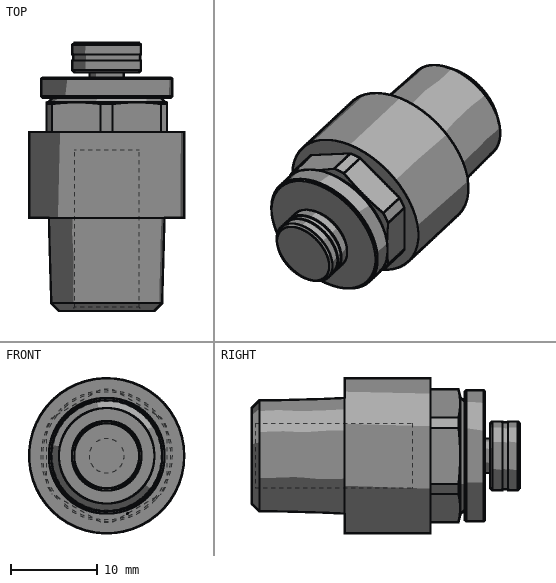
import cadquery as cq

total_length = 31.1

spigot_length = 10.8
spigot_base_radius = 6.72
spigot_tip_radius = 6.45
spigot_end_face_radius = 5.55
spigot_chamfer_length = 0.9
bore_radius = 3.75
bore_depth = 18.65
bore_chamfer_width = 0.28
bore_chamfer_length = 0.47

body_radius = 18.0 / 2
body_length = 9.95

hex_across_flats = 14.0
hex_corner_radius = 7.7
hex_length = 3.48
hex_chamfer_length = 0.25
hex_end_radius = 6.72

neck_length = 0.47
neck_small_radius = 6.3

flange_radius = 15.2 / 2
flange_length = 2.35
flange_chamfer = 0.2

stem_radius = 4.0 / 2
cap_radius = 8.0 / 2
cap_length = 3.48
cap_chamfer = 0.28
groove_radius = 7.8 / 2
groove_width = 0.68
groove_from_cap_end = 1.37

body_start = spigot_length
hex_start = body_start + body_length
hex_end = hex_start + hex_length
flange_start = hex_end + neck_length
flange_end = flange_start + flange_length
cap_start = total_length - cap_length
groove_end = total_length - groove_from_cap_end


def revolve_profile(points):
    """Revolve (radius, y) points, closed along the axis, around Y."""
    axis_start = (0, points[0][1])
    axis_end = (0, points[-1][1])
    outline = cq.Workplane("XY").polyline([axis_start, *points, axis_end]).close()
    return outline.revolve(360, (0, 0, 0), (0, 1, 0))


def cylinder(radius, start, end):
    return revolve_profile([(radius, start), (radius, end)])


def chamfered_disc(radius, start, end, chamfer):
    return cylinder(radius, start, end).faces("<Y or >Y").chamfer(chamfer)


def make_spigot():
    return revolve_profile([
        (spigot_end_face_radius, 0),
        (spigot_tip_radius, spigot_chamfer_length),
        (spigot_base_radius, spigot_length),
    ])


def make_hexagon():
    """Hexagon with flats facing +X and -X, trimmed by a chamfered cylinder."""
    prism = (
        cq.Workplane("XZ", origin=(0, hex_start, 0))
        .polygon(6, hex_across_flats, circumscribed=True)
        .extrude(-hex_length)
    )
    envelope = revolve_profile([
        (hex_corner_radius, hex_start),
        (hex_corner_radius, hex_end - hex_chamfer_length),
        (hex_end_radius, hex_end),
    ])
    return prism.intersect(envelope)


def make_neck():
    return revolve_profile([(hex_end_radius, hex_end), (neck_small_radius, flange_start)])


def make_cap():
    cap = chamfered_disc(cap_radius, cap_start, total_length, cap_chamfer)
    groove_start = groove_end - groove_width
    ring = cylinder(cap_radius, groove_start, groove_end)
    ring = ring.cut(cylinder(groove_radius, groove_start, groove_end))
    return cap.cut(ring)


def make_bore():
    """Blind bore with a chamfered mouth."""
    return revolve_profile([
        (bore_radius + bore_chamfer_width, 0),
        (bore_radius, bore_chamfer_length),
        (bore_radius, bore_depth),
    ])


result = (
    make_spigot()
    .union(cylinder(body_radius, body_start, hex_start))
    .union(make_hexagon())
    .union(make_neck())
    .union(chamfered_disc(flange_radius, flange_start, flange_end, flange_chamfer))
    .union(cylinder(stem_radius, flange_end, cap_start))
    .union(make_cap())
    .cut(make_bore())
)